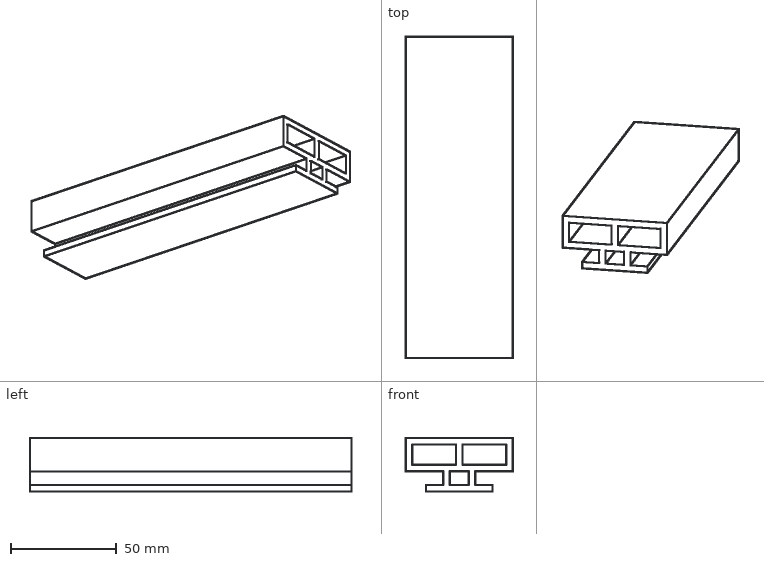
import cadquery as cq

length = 152.4
width = 50.7
height = 25.5
wall = 3.2

box_height = 15.8
foot_width = 31.7
web_span = 15.2

box_bottom = height - box_height
chamber_width = (width - 3 * wall) / 2
chamber_height = box_height - 2 * wall
chamber_offset = (chamber_width + wall) / 2
web_height = box_bottom - wall
web_offset = (web_span - wall) / 2


def bar(bar_width, bar_height, center_x, bottom_z):
    """Full-length rectangular bar, centered along Y."""
    return (
        cq.Workplane("XY")
        .box(bar_width, length, bar_height, centered=(True, True, False))
        .translate((center_x, 0, bottom_z))
    )


result = bar(width, box_height, 0, box_bottom)
for side in (-1, 1):
    result = result.cut(bar(chamber_width, chamber_height, side * chamber_offset, box_bottom + wall))

result = result.union(bar(foot_width, wall, 0, 0))
for side in (-1, 1):
    result = result.union(bar(wall, web_height, side * web_offset, wall))